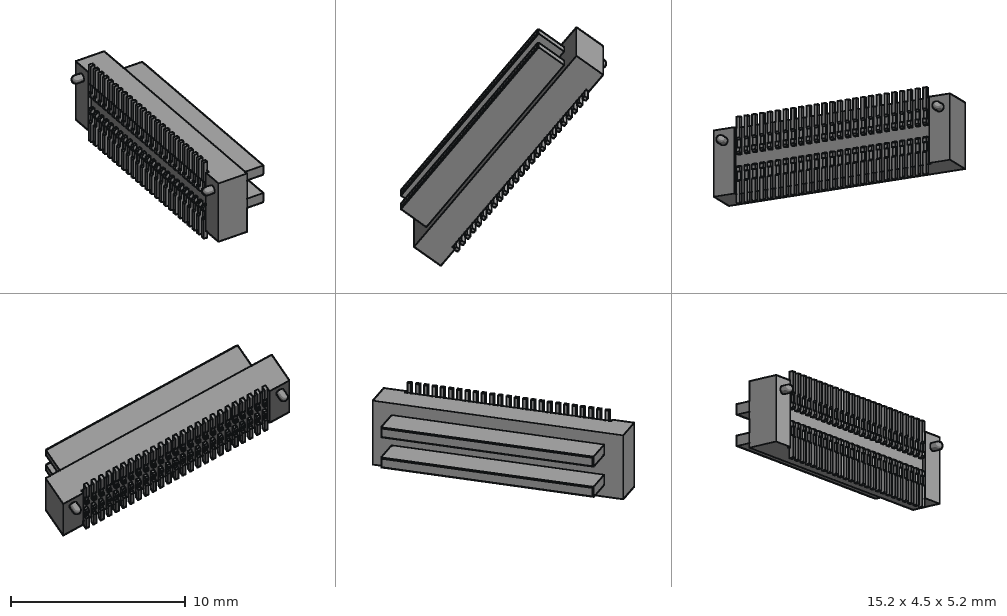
import cadquery as cq

body_length = 15.2
body_depth = 1.95
body_height = 4.0

channel_length = 12.52
channel_depth = 0.2

tongue_length = 12.89
tongue_reach = 1.9
tongue_thickness = 0.64
tongue_spacing = 1.88
tongue_chamfer = 0.06

terminals_per_row = 25
terminal_row_span = 12.0
terminal_pitch = terminal_row_span / (terminals_per_row - 1)
terminal_width = 0.21
terminal_thickness = 0.26
terminal_outer_end = 2.6
terminal_inner_end = 0.36
terminal_tip_radius = 0.06
terminal_bevel = 0.1
notch_outer_end = 1.22
notch_inner_end = 0.71
notch_depth = terminal_bevel

peg_diameter = 0.5
peg_length = 0.65
peg_x = 6.95
peg_z = 1.25

channel_floor_y = channel_depth - body_depth
terminal_front_y = channel_floor_y - terminal_thickness


def make_housing():
    block = cq.Workplane("XY").box(body_length, body_depth, body_height)
    block = block.translate((0, -body_depth / 2, 0))
    channel = cq.Workplane("XY").box(channel_length, 2 * channel_depth, body_height)
    return block.cut(channel.translate((0, -body_depth, 0)))


def make_tongue(z):
    tongue = cq.Workplane("XY").box(tongue_length, tongue_reach, tongue_thickness)
    return tongue.faces(">Y").edges().chamfer(tongue_chamfer).translate((0, tongue_reach / 2, z))


def make_terminal():
    """Upper-row terminal at X = 0: a solder foot, a notch, and a bevelled inner nose."""
    notch_y = terminal_front_y + notch_depth
    profile = (
        cq.Workplane("YZ")
        .moveTo(channel_floor_y, terminal_inner_end)
        .lineTo(channel_floor_y, terminal_outer_end)
        .lineTo(terminal_front_y + terminal_tip_radius, terminal_outer_end)
        .tangentArcPoint((terminal_front_y, terminal_outer_end - terminal_tip_radius), relative=False)
        .lineTo(terminal_front_y, notch_outer_end + terminal_bevel)
        .lineTo(notch_y, notch_outer_end)
        .lineTo(notch_y, notch_inner_end)
        .lineTo(terminal_front_y, notch_inner_end)
        .lineTo(terminal_front_y, terminal_inner_end + terminal_bevel)
        .lineTo(terminal_front_y + terminal_bevel, terminal_inner_end)
        .close()
    )
    return profile.extrude(terminal_width / 2, both=True)


def make_peg(x):
    """Round peg pointing toward -Y with a hemispherical tip."""
    radius = peg_diameter / 2
    profile = (
        cq.Workplane("XY")
        .lineTo(-radius, 0)
        .lineTo(-radius, radius - peg_length)
        .tangentArcPoint((0, -peg_length), relative=False)
        .close()
    )
    return profile.revolve(360, (0, 0, 0), (0, 1, 0)).translate((x, -body_depth, peg_z))


result = make_housing()

for side in (-1, 1):
    result = result.union(make_tongue(side * tongue_spacing / 2))
    result = result.union(make_peg(side * peg_x))

upper_terminal = make_terminal()
lower_terminal = upper_terminal.mirror("XY")
for index in range(terminals_per_row):
    terminal_x = index * terminal_pitch - terminal_row_span / 2
    for terminal in (upper_terminal, lower_terminal):
        result = result.union(terminal.translate((terminal_x, 0, 0)))